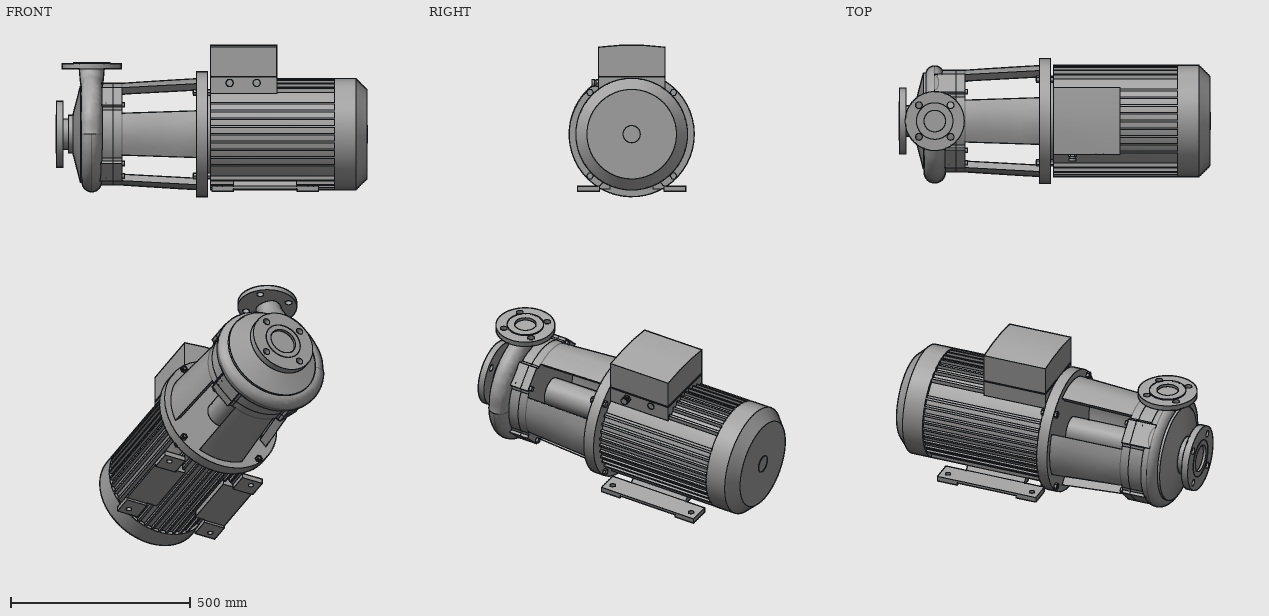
import cadquery as cq
import math


suction_flange_back = 20
collar_front = 34.5
cover_front = 48
cover_rim_front = 68
outlet_x = 100
joint_x = 160
lantern_ring_back = 184.5
flange_front = 392
flange_back = 423.5
motor_front = 431
cowl_front = 777
cowl_bevel_front = 837
cowl_back = 868.5
overall_length = 870

suction_flange_dia = 185
suction_bolt_circle = 145
suction_raised_dia = 106.1
suction_bore_dia = 76.1
suction_neck_dia = 86.1
collar_dia = 106.1
cover_inner_radius = 57
cover_rim_radius = 134.5
flange_hole_dia = 19
suction_raised_height = 1
bore_recess = 8

outlet_height = 200
outlet_flange_dia = 165
outlet_flange_thickness = 18
outlet_bolt_circle = 125
outlet_raised_dia = 102
outlet_raised_height = 3
outlet_bore_dia = 60.3
outlet_pipe_radius = outlet_bore_dia / 2 + 5

volute_start_radius = 152
volute_throat_radius = 173
tube_start_radius = 25
tube_throat_radius = 30
volute_turn = 270
spiral_sections = 10
outlet_arc_sections = 5

ring_radius = 142.5
lug_top = 150
lug_shoulder = 141.5
lug_half_width = 35
lug_root_half_width = 41.5
lug_root = math.sqrt(ring_radius**2 - lug_root_half_width**2)
lug_angles = (45, 135, 225, 315)

stud_dia = 13
stud_radius = 142.5
stud_offset_angle = 10
stud_front = 140
stud_back = 192

strut_thickness = 24
strut_end_radius = 155.5
window_half_width = 50.2
window_end_half_width = 53.4
shaft_dia = 80

flange_dia = 350
flange_bolt_offset = 116.5
flange_bolt_dia = 10
hex_size = 16
bolt_head_front = 384
bolt_tip = 1

neck_dia = 232
frame_radius = 147
fin_radius = 312 / 2
fin_pitch = 21.65
fin_thickness = 5
fins_each_side = 4
cowl_end_radius = 125
end_cap_dia = 48

foot_front = 435.5
foot_length = 298
foot_inner = 89.5
foot_outer = 151.5
foot_bottom = -160
foot_top = -145
foot_bar_thickness = 8
foot_pad_length = 60
foot_hole_dia = 15
foot_hole_spacing = 254
foot_hole_y = 127
web_front = 496
web_length = 176
web_inner = 60
web_top_y = 75
web_top = -129

box_length = 186
box_half_width = 93
box_bottom = 112.5
box_seam = 159
box_seam_width = 2
box_side_top = 243
box_top = 249.17
gland_x = (485, 560.5)
gland_z = 143
gland_dia = 20
gland_depth = 2
gland_hex_size = 19
gland_neck_dia = 15
gland_collar = 6.5
gland_length = 18


def disc(front, back, dia):
    """Cylinder about the shaft axis between two X positions."""
    return cq.Workplane("YZ", origin=(front, 0, 0)).circle(dia / 2).extrude(back - front)


def block(x0, x1, y0, y1, z0, z1):
    """Box given by its limits on each axis."""
    return cq.Workplane("XY").box(x1 - x0, y1 - y0, z1 - z0, centered=False).translate((x0, y0, z0))


def tube(sections, seam_side):
    """Loft through circles, each given by (direction angle, y, z, radius) in a plane holding X.

    The seam runs along the inside of the bend for seam_side 1 and along the outside for -1.
    """
    wires = []
    for angle, y, z, radius in sections:
        direction = cq.Vector(0, math.cos(math.radians(angle)), math.sin(math.radians(angle)))
        seam_direction = direction.cross(cq.Vector(seam_side, 0, 0))
        plane = cq.Plane(origin=(outlet_x, y, z), xDir=seam_direction, normal=direction)
        wires.append(cq.Workplane(plane).circle(radius).wires().val())
    return cq.Workplane(obj=cq.Solid.makeLoft(wires))


def volute():
    """Spiral tube from the tongue at the top, round by +Y and the bottom, to the throat at -Y."""
    sections = []
    for i in range(spiral_sections):
        turn = i / (spiral_sections - 1)
        outer = volute_start_radius + (volute_throat_radius - volute_start_radius) * turn**2
        radius = tube_start_radius + (tube_throat_radius - tube_start_radius) * turn**2
        angle = 90 - volute_turn * turn
        y = (outer - radius) * math.cos(math.radians(angle))
        z = (outer - radius) * math.sin(math.radians(angle))
        sections.append((angle - 90, y, z, radius))
    return tube(sections, -1)


def outlet_pipe():
    """Tube from the throat up around the casing, then bent back to rise along Z at y = 0."""
    throat = volute_throat_radius - tube_throat_radius
    bend = (outlet_height**2 - throat**2) / (2 * throat)
    tangent_angle = math.degrees(math.atan2(outlet_height, bend))
    pipe_end = outlet_height - outlet_flange_thickness
    end_angle = math.degrees(math.asin((outlet_height - pipe_end) / bend))
    sections = []
    for i in range(outlet_arc_sections):
        angle = tangent_angle * i / outlet_arc_sections
        y = -throat * math.cos(math.radians(angle))
        z = throat * math.sin(math.radians(angle))
        sections.append((90 - angle, y, z, tube_throat_radius))
    for i in range(outlet_arc_sections + 1):
        turn = i / outlet_arc_sections
        angle = tangent_angle + (end_angle - tangent_angle) * turn
        y = -bend + bend * math.cos(math.radians(angle))
        z = outlet_height - bend * math.sin(math.radians(angle))
        radius = tube_throat_radius + (outlet_pipe_radius - tube_throat_radius) * turn
        sections.append((90 - angle, y, z, radius))
    return tube(sections, 1)


def lug_ring(front, back):
    """Disc with four flat-topped lugs at 45 degrees to the main axes."""
    ring = disc(front, back, 2 * ring_radius)
    half_profile = [
        (lug_top, lug_half_width),
        (lug_shoulder, lug_half_width),
        (lug_root, lug_root_half_width),
    ]
    mirrored = [(radial, -across) for radial, across in reversed(half_profile)]
    lug = (
        cq.Workplane("YZ", origin=(front, 0, 0))
        .polyline([(0, 0)] + mirrored + half_profile)
        .close()
        .extrude(back - front)
    )
    for angle in lug_angles:
        ring = ring.union(lug.rotate((0, 0, 0), (1, 0, 0), angle))
    return ring


def make_casing_studs():
    """Four studs, one in each lug, passing from the casing through the lantern ring."""
    studs = []
    for angle in lug_angles:
        turn = math.radians(angle + stud_offset_angle)
        y = stud_radius * math.cos(turn)
        z = stud_radius * math.sin(turn)
        studs.append(disc(stud_front, stud_back, stud_dia).translate((0, y, z)))
    return studs


def make_flange_bolts():
    """Four bolts through the mounting flange, with a hexagon on each side of it."""
    hex_corner_dia = hex_size / math.cos(math.radians(30))
    bolts = []
    for y in (-flange_bolt_offset, flange_bolt_offset):
        for z in (-flange_bolt_offset, flange_bolt_offset):
            bolt = disc(bolt_head_front - bolt_tip, flange_back, flange_bolt_dia)
            for front, back in ((bolt_head_front, flange_front), (flange_back, motor_front)):
                hexagon = cq.Workplane("YZ", origin=(front, 0, 0)).polygon(6, hex_corner_dia)
                bolt = bolt.union(hexagon.extrude(back - front))
            bolts.append(bolt.translate((0, y, z)))
    return bolts


def suction_branch():
    """Flange with raised face, neck and collar; the bore is a shallow recess."""
    branch = disc(0, suction_raised_height, suction_raised_dia)
    branch = branch.union(disc(suction_raised_height, suction_flange_back, suction_flange_dia))
    branch = branch.union(disc(suction_flange_back, collar_front, suction_neck_dia))
    branch = branch.union(disc(collar_front, cover_front, collar_dia))
    branch = branch.cut(disc(0, bore_recess, suction_bore_dia))
    holes = (
        cq.Workplane("YZ")
        .polarArray(suction_bolt_circle / 2, 45, 360, 4)
        .circle(flange_hole_dia / 2)
        .extrude(suction_flange_back)
    )
    return branch.cut(holes)


def outlet_flange():
    """Discharge flange with raised face, blind bore and four holes."""
    bottom = outlet_height - outlet_flange_thickness
    flange = (
        cq.Workplane("XY", origin=(outlet_x, 0, bottom))
        .circle(outlet_flange_dia / 2)
        .extrude(outlet_flange_thickness - outlet_raised_height)
        .faces(">Z")
        .workplane()
        .circle(outlet_raised_dia / 2)
        .extrude(outlet_raised_height)
        .faces(">Z")
        .workplane()
        .circle(outlet_bore_dia / 2)
        .cutBlind(-bore_recess)
    )
    holes = (
        cq.Workplane("XY", origin=(outlet_x, 0, bottom))
        .polarArray(outlet_bolt_circle / 2, 45, 360, 4)
        .circle(flange_hole_dia / 2)
        .extrude(outlet_flange_thickness)
    )
    return flange.cut(holes)


def cover():
    """Shallow cone from the collar out to the rim, carried back into the volute."""
    outline = [
        (cover_front, 0),
        (cover_front, cover_inner_radius),
        (cover_rim_front, cover_rim_radius),
        (outlet_x, cover_rim_radius),
        (outlet_x, 0),
    ]
    return cq.Workplane("XY").polyline(outline).close().revolve(360, (0, 0, 0), (1, 0, 0))


def make_casing():
    casing = lug_ring(outlet_x, joint_x).union(cover()).union(suction_branch())
    casing = casing.union(volute()).union(outlet_pipe()).union(outlet_flange())
    for stud in make_casing_studs():
        casing = casing.cut(stud)
    return casing


def struts():
    """Conical shell opened by four flat-sided windows in line with the lugs, leaving four struts."""
    shell_outline = [
        (lantern_ring_back, ring_radius - strut_thickness),
        (lantern_ring_back, ring_radius),
        (flange_front, strut_end_radius),
        (flange_front, strut_end_radius - strut_thickness),
    ]
    shell = cq.Workplane("XY").polyline(shell_outline).close().revolve(360, (0, 0, 0), (1, 0, 0))
    window_outline = [
        (lantern_ring_back, -window_half_width),
        (lantern_ring_back, window_half_width),
        (flange_front, window_end_half_width),
        (flange_front, -window_end_half_width),
    ]
    window = cq.Workplane("XY").polyline(window_outline).close().extrude(flange_dia / 2)
    for angle in lug_angles:
        shell = shell.cut(window.rotate((0, 0, 0), (1, 0, 0), angle))
    return shell


def lantern():
    """Ring, struts, shaft cover and mounting flange between the casing and the motor."""
    body = lug_ring(joint_x, lantern_ring_back).union(struts())
    body = body.union(disc(lantern_ring_back, flange_front, shaft_dia))
    return body.union(disc(flange_front, flange_back, flange_dia))


def motor_frame():
    """Round frame with flat fins: level ones on the sides, upright ones above and below."""
    fins = None
    for i in range(-fins_each_side, fins_each_side + 1):
        low = i * fin_pitch - fin_thickness / 2
        high = low + fin_thickness
        level = block(motor_front, cowl_front, -fin_radius, fin_radius, low, high)
        upright = block(motor_front, cowl_front, low, high, -fin_radius, fin_radius)
        pair = level.union(upright)
        fins = pair if fins is None else fins.union(pair)
    fins = fins.intersect(disc(motor_front, cowl_front, 2 * fin_radius))
    frame = disc(motor_front, cowl_front, 2 * frame_radius).union(fins)
    return frame.union(disc(flange_back, motor_front, neck_dia))


def fan_cowl():
    outline = [
        (cowl_front, 0),
        (cowl_front, fin_radius),
        (cowl_bevel_front, fin_radius),
        (cowl_back, cowl_end_radius),
        (cowl_back, 0),
    ]
    cowl = cq.Workplane("XY").polyline(outline).close().revolve(360, (0, 0, 0), (1, 0, 0))
    return cowl.union(disc(cowl_back, overall_length, end_cap_dia))


def foot():
    """Foot bar on the +Y side with a thick pad at each end and a web up to the frame."""
    foot_back = foot_front + foot_length
    bar = block(foot_front, foot_back, foot_inner, foot_outer, foot_top - foot_bar_thickness, foot_top)
    for pad_front in (foot_front, foot_back - foot_pad_length):
        pad_back = pad_front + foot_pad_length
        bar = bar.union(block(pad_front, pad_back, foot_inner, foot_outer, foot_bottom, foot_top))
    web_outline = [
        (web_inner, foot_top - foot_bar_thickness),
        (foot_inner, foot_top - foot_bar_thickness),
        (foot_inner, foot_top),
        (web_top_y, web_top),
        (web_inner, web_top),
    ]
    web = cq.Workplane("YZ", origin=(web_front, 0, 0)).polyline(web_outline).close().extrude(web_length)
    middle = (foot_front + foot_back) / 2
    holes = (
        cq.Workplane("XY", origin=(middle, foot_hole_y, foot_bottom))
        .pushPoints([(-foot_hole_spacing / 2, 0), (foot_hole_spacing / 2, 0)])
        .circle(foot_hole_dia / 2)
        .extrude(foot_top - foot_bottom)
    )
    return bar.union(web).cut(holes)


def terminal_box():
    """Box with an arched lid, a seam groove, one blank entry and one screwed-in gland on -Y."""
    box = (
        cq.Workplane("YZ", origin=(motor_front, 0, 0))
        .moveTo(-box_half_width, box_bottom)
        .lineTo(box_half_width, box_bottom)
        .lineTo(box_half_width, box_side_top)
        .threePointArc((0, box_top), (-box_half_width, box_side_top))
        .close()
        .extrude(box_length)
    )
    seam = (
        cq.Workplane("XY", origin=(motor_front + box_length / 2, 0, box_seam))
        .rect(box_length, 2 * box_half_width)
        .rect(box_length - 2 * box_seam_width, 2 * (box_half_width - box_seam_width))
        .extrude(box_seam_width)
    )
    box = box.cut(seam)
    wall = cq.Workplane("XZ", origin=(0, -box_half_width, 0))
    hex_corner_dia = gland_hex_size / math.cos(math.radians(30))
    gland_collar_hex = wall.center(gland_x[0], gland_z).polygon(6, hex_corner_dia).extrude(gland_collar)
    neck = wall.center(gland_x[0], gland_z).circle(gland_neck_dia / 2).extrude(gland_length)
    cap = (
        cq.Workplane("XZ", origin=(gland_x[0], gland_collar - gland_length - box_half_width, gland_z))
        .circle(gland_dia / 2)
        .extrude(gland_collar)
    )
    entry = wall.center(gland_x[1], gland_z).circle(gland_dia / 2).extrude(-gland_depth)
    return box.union(gland_collar_hex).union(neck).union(cap).cut(entry)


def make_motor_unit():
    """Motor with its mounting flange and lantern, one casting with the terminal box and feet."""
    unit = motor_frame().union(fan_cowl()).union(terminal_box())
    unit = unit.union(foot()).union(foot().mirror("XZ")).union(lantern())
    for fastener in make_casing_studs() + make_flange_bolts():
        unit = unit.cut(fastener)
    return unit


casing = make_casing()
motor_unit = make_motor_unit()
casing_studs = make_casing_studs()
flange_bolts = make_flange_bolts()

result = cq.Compound.makeCompound(
    [
        casing.val(),
        motor_unit.val(),
        *[stud.val() for stud in casing_studs],
        *[bolt.val() for bolt in flange_bolts],
    ]
)